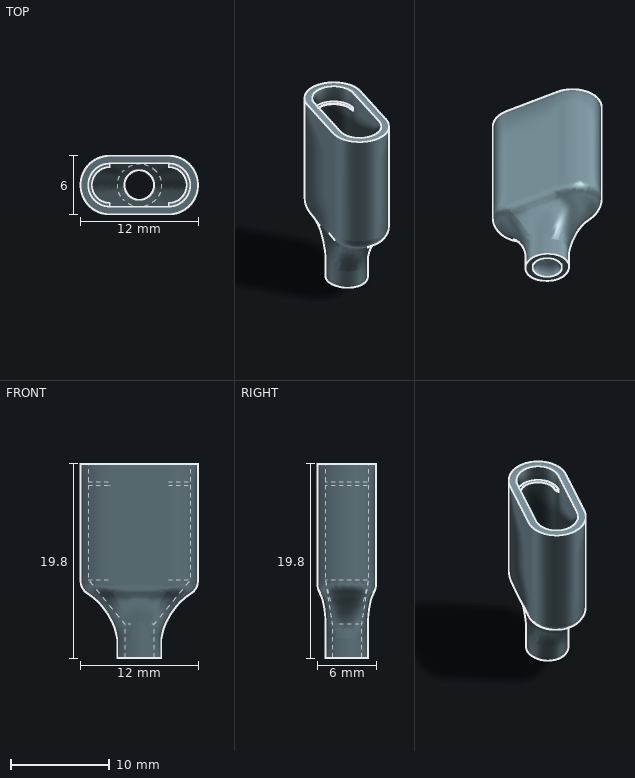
import cadquery as cq
import math

total_height = 19.8
neck_height = 2.0
shoulder_height = 7.0

body_length = 12.0
body_width = 6.0
wall = 0.8
shoulder_fillet = 1.5
body_radius = body_width / 2
flat_half = body_length / 2 - body_radius

neck_flat_half = 0.2
neck_end_radius = 2.07
sleeve_radius = 2.18
sleeve_height = 4.5
bore_radius = 1.5

opening_radius = body_radius - wall
ledge_depth = 1.8
ledge_width = 0.37
ledge_top = total_height - ledge_depth
funnel_bottom_height = 3.5
funnel_top_height = 8.0

waist_height = 4.5
flare_height = 6.0


def slot_prism(half_flat, radius, bottom, top):
    """Upright prism with a slot outline whose long axis is X."""
    outline = cq.Workplane("XY").workplane(offset=bottom).slot2D(2 * (half_flat + radius), 2 * radius)
    return outline.extrude(top - bottom)


def section(height, corner_x, corner_y, end_x, side_y):
    """Closed outline of two end arcs and two sides, which bow outward when side_y exceeds corner_y."""
    outline = cq.Workplane("XY").workplane(offset=height).moveTo(corner_x, -corner_y)
    outline = outline.threePointArc((end_x, 0), (corner_x, corner_y))
    if side_y > corner_y:
        outline = outline.threePointArc((0, side_y), (-corner_x, corner_y))
    else:
        outline = outline.lineTo(-corner_x, corner_y)
    outline = outline.threePointArc((-end_x, 0), (-corner_x, -corner_y))
    if side_y > corner_y:
        outline = outline.threePointArc((0, -side_y), (corner_x, -corner_y))
    return outline.close().val()


def slot_section(height, half_flat, radius):
    """Slot outline written as a section, so it can be lofted with the bowed ones."""
    return section(height, half_flat, radius, half_flat + radius, radius)


def loft(sections):
    """Smooth solid through the given outlines, from lowest to highest."""
    return cq.Workplane(cq.Solid.makeLoft(sections))


def make_outside():
    transition = loft([
        slot_section(neck_height, neck_flat_half, neck_end_radius),
        section(waist_height, corner_x=1.5, corner_y=2.06, end_x=3.22, side_y=2.23),
        section(flare_height, corner_x=2.3, corner_y=2.35, end_x=4.5, side_y=2.5),
        slot_section(shoulder_height, flat_half, body_radius),
    ])
    body = slot_prism(flat_half, body_radius, shoulder_height, total_height)
    selection_margin = 0.01
    shoulder_edges = cq.selectors.BoxSelector(
        (-body_length, -body_width, shoulder_height - selection_margin),
        (body_length, body_width, shoulder_height + selection_margin),
    )
    upper = body.union(transition).edges(shoulder_edges).fillet(shoulder_fillet)
    neck = slot_prism(neck_flat_half, neck_end_radius, 0, neck_height)
    sleeve = cq.Workplane("XY").circle(sleeve_radius).extrude(sleeve_height)
    return upper.union(neck).union(sleeve)


def make_ledges():
    """Ribs on both rounded ends of the socket, flat on top with a 45 degree underside."""
    bottom = ledge_top - ledge_width
    ring = slot_prism(flat_half, opening_radius, bottom, ledge_top)
    passage = loft([
        slot_section(bottom, flat_half, opening_radius),
        slot_section(ledge_top, flat_half, opening_radius - ledge_width),
    ])
    flat_stretch = cq.Workplane("XY").workplane(offset=bottom)
    flat_stretch = flat_stretch.rect(2 * flat_half, body_width).extrude(ledge_width)
    return ring.cut(passage).cut(flat_stretch)


def make_cavity():
    socket = slot_prism(flat_half, opening_radius, funnel_top_height, total_height)
    bore_corner = bore_radius * math.cos(math.pi / 4)
    funnel = loft([
        section(funnel_bottom_height, bore_corner, bore_corner, bore_radius, bore_radius),
        slot_section(funnel_top_height, flat_half, opening_radius),
    ])
    bore = cq.Workplane("XY").circle(bore_radius).extrude(funnel_bottom_height)
    return socket.cut(make_ledges()).union(funnel).union(bore)


result = make_outside().cut(make_cavity())